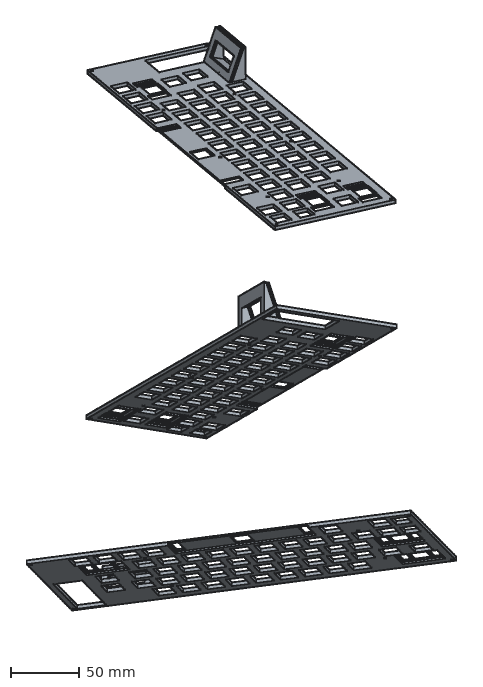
import cadquery as cq
import math

PLATE_LENGTH = 300.0
PLATE_WIDTH = 100.0
PLATE_THICKNESS = 3.0
TOTAL_HEIGHT = 29.0

TEN_KEY_SPAN = 190.5
KEY_UNIT = TEN_KEY_SPAN / 10
FIELD_LEFT = 29.5
BOTTOM_ROW_Y = 9.5
KEY_OPENING = 13.8
NARROW_OPENING = 12.0
NARROW_KEY_POSITION = 13.625

SPACE_POSITION = 7.125
SHIFT_POSITION = 1.125
ENTER_POSITION = 12.875
BACKSPACE_POSITION = 13.0
KEY_ROWS = [
    [0.5, 1.5, 2.5, 3.5, SPACE_POSITION, 10.75, 12.75],
    [SHIFT_POSITION] + [2.75 + i for i in range(11)],
    [0.875] + [2.25 + i for i in range(10)] + [ENTER_POSITION],
    [0.75] + [2.0 + i for i in range(10)] + [12.125, 13.375],
    [2.5 + i for i in range(9)] + [BACKSPACE_POSITION],
]
SPACE_ROW, SHIFT_ROW, ENTER_ROW, TAB_ROW, NUMBER_ROW = range(5)
NARROW_KEY_ROWS = [SPACE_ROW, SHIFT_ROW]

STABILIZER_WIDTH = 7.0
STABILIZER_LENGTH = 15.5
STABILIZER_DROP = 1.5
WIDE_KEY_REACH = 12.0
SPACE_REACH = 50.0
STABILIZED_KEYS = [
    (SPACE_ROW, SPACE_POSITION, SPACE_REACH),
    (SHIFT_ROW, SHIFT_POSITION, WIDE_KEY_REACH),
    (ENTER_ROW, ENTER_POSITION, WIDE_KEY_REACH),
    (NUMBER_ROW, BACKSPACE_POSITION, WIDE_KEY_REACH),
]

STABILIZER_SKIN = 1.5
RELIEF_MARGIN = 1.2

SCREW_DIAMETER = 2.0
CORNER_INSET = 2.55
INNER_SCREW_X = [85.8, 176.5, 252.3]
INNER_SCREW_Y = [18.5, 77.5]

BAY_LEFT = 4.8
BAY_FRONT = 45.3
BAY_LENGTH = 22.5
BAY_WIDTH = 52.2

BRACKET_LEFT = 26.5
BRACKET_LENGTH = 40.8
BRACKET_BACK = 96.3
BRACKET_TOP_DEPTH = 4.0
BRACKET_TILT = 20.5
BRACKET_HEIGHT = TOTAL_HEIGHT - PLATE_THICKNESS
PANEL_THICKNESS = 1.0
BOARD_GAP = 1.5
BOARD_FLOOR = 0.5
WINDOW_LENGTH = 29.5
WINDOW_HEIGHT = 13.2
WINDOW_SILL = 5.7

TILT = math.radians(BRACKET_TILT)


def key_x(position):
    return FIELD_LEFT + position * KEY_UNIT


def row_y(row):
    return BOTTOM_ROW_Y + row * KEY_UNIT


def plate_cutter(centers, length, width):
    """Rectangular cutters through the plate at the given centres."""
    return (
        cq.Workplane("XY")
        .pushPoints(centers)
        .rect(length, width)
        .extrude(PLATE_THICKNESS)
    )


def key_cutters():
    centers = [(key_x(p), row_y(row)) for row, keys in enumerate(KEY_ROWS) for p in keys]
    return plate_cutter(centers, KEY_OPENING, KEY_OPENING)


def narrow_key_cutters():
    """Smaller openings, level with the back edges of the full-size ones."""
    rise = (KEY_OPENING - NARROW_OPENING) / 2
    centers = [(key_x(NARROW_KEY_POSITION), row_y(row) + rise) for row in NARROW_KEY_ROWS]
    return plate_cutter(centers, NARROW_OPENING, NARROW_OPENING)


def stabilizer_cutters():
    centers = [
        (key_x(position) + side * reach, row_y(row) - STABILIZER_DROP)
        for row, position, reach in STABILIZED_KEYS
        for side in (-1, 1)
    ]
    return plate_cutter(centers, STABILIZER_WIDTH, STABILIZER_LENGTH)


def relief_cutters():
    """Shallow pockets in the underside around each stabilized key and its two slots."""
    reliefs = cq.Workplane("XY")
    for row, position, reach in STABILIZED_KEYS:
        length = 2 * reach + STABILIZER_WIDTH + 2 * RELIEF_MARGIN
        width = STABILIZER_LENGTH + 2 * RELIEF_MARGIN
        center = (key_x(position), row_y(row) - STABILIZER_DROP)
        pocket = cq.Workplane("XY").center(*center).rect(length, width)
        reliefs = reliefs.add(pocket.extrude(PLATE_THICKNESS - STABILIZER_SKIN))
    return reliefs.combine()


def screw_cutters():
    corners = [
        (x, y)
        for x in (CORNER_INSET, PLATE_LENGTH - CORNER_INSET)
        for y in (CORNER_INSET, PLATE_WIDTH - CORNER_INSET)
    ]
    inner = [(x, y) for x in INNER_SCREW_X for y in INNER_SCREW_Y]
    return (
        cq.Workplane("XY")
        .pushPoints(corners + inner)
        .circle(SCREW_DIAMETER / 2)
        .extrude(PLATE_THICKNESS)
    )


def make_plate():
    blank = cq.Workplane("XY").box(PLATE_LENGTH, PLATE_WIDTH, PLATE_THICKNESS, centered=False)
    bay = cq.Workplane("XY").box(BAY_LENGTH, BAY_WIDTH, PLATE_THICKNESS, centered=False)
    return (
        blank.cut(key_cutters())
        .cut(narrow_key_cutters())
        .cut(stabilizer_cutters())
        .cut(screw_cutters())
        .cut(bay.translate((BAY_LEFT, BAY_FRONT, 0)))
        .cut(relief_cutters())
    )


def front_y(height):
    """Y of the bracket's tilted front face at a height above the plate."""
    return BRACKET_BACK - BRACKET_TOP_DEPTH - (BRACKET_HEIGHT - height) * math.tan(TILT)


def side_profile(points, left, length):
    """Prism along X from (y, height above the plate) points."""
    return (
        cq.Workplane("YZ", origin=(left, 0, PLATE_THICKNESS))
        .polyline(points)
        .close()
        .extrude(length)
    )


def make_bracket():
    wedge = side_profile(
        [
            (BRACKET_BACK, 0),
            (front_y(0), 0),
            (front_y(BRACKET_HEIGHT), BRACKET_HEIGHT),
            (BRACKET_BACK, BRACKET_HEIGHT),
        ],
        BRACKET_LEFT,
        BRACKET_LENGTH,
    )

    gap_front = PANEL_THICKNESS / math.cos(TILT)
    gap_back = gap_front + BOARD_GAP / math.cos(TILT)
    slot = side_profile(
        [
            (front_y(BOARD_FLOOR) + gap_front, BOARD_FLOOR),
            (front_y(BRACKET_HEIGHT) + gap_front, BRACKET_HEIGHT),
            (front_y(BRACKET_HEIGHT) + gap_back, BRACKET_HEIGHT),
            (front_y(BOARD_FLOOR) + gap_back, BOARD_FLOOR),
        ],
        BRACKET_LEFT,
        BRACKET_LENGTH,
    )

    top = WINDOW_SILL + WINDOW_HEIGHT * math.cos(TILT)
    back_drop = (BRACKET_BACK - front_y(WINDOW_SILL)) * math.tan(TILT)
    top_drop = (BRACKET_BACK - front_y(top)) * math.tan(TILT)
    window = side_profile(
        [
            (front_y(WINDOW_SILL), WINDOW_SILL),
            (front_y(top), top),
            (BRACKET_BACK, top - top_drop),
            (BRACKET_BACK, WINDOW_SILL - back_drop),
        ],
        BRACKET_LEFT + (BRACKET_LENGTH - WINDOW_LENGTH) / 2,
        WINDOW_LENGTH,
    )
    return wedge.cut(slot).cut(window)


plate = make_plate()
bracket = make_bracket()
result = cq.Compound.makeCompound([plate.val(), bracket.val()])